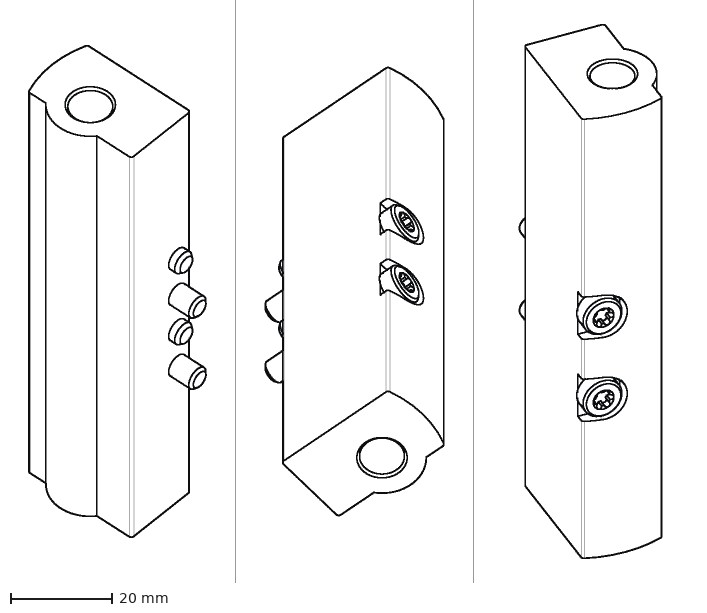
import cadquery as cq
import math

block_height = 107.0
block_width = 29.0
block_depth = 17.4
side_bulge = 1.6
corner_radius = 0.6

bore_diameter = 8.9
bore_mouth_diameter = 10.0
bore_x = 13.1
boss_radius = 8.8
boss_projection = 3.2
bore_y = boss_radius - boss_projection

fastener_diameter = 5.0
fastener_from_back = 4.0
fastener_y = block_depth - fastener_from_back
fastener_pitch = 20.0
screw_tip_chamfer = 0.6
pin_tip_length = 0.9
pin_tip_width = 0.6

screw_low_z = 38.5
screw_projection = 6.0
head_diameter = 8.5
head_chamfer_length = 0.5
head_chamfer_width = 0.48
seat_diameter = 10.3
seat_x = 3.5

socket_diameter = 4.5
socket_root_diameter = 3.3
socket_lobe_diameter = 1.2
socket_lobes = 6
socket_mouth_depth = 0.3
socket_depth = 1.7
socket_tip_depth = 1.0

pin_low_z = screw_low_z + fastener_pitch / 2
pin_projection = 2.5
pin_embedded = 10.0

screw_heights = [screw_low_z, screw_low_z + fastener_pitch]
pin_heights = [pin_low_z, pin_low_z + fastener_pitch]


def rod_x(diameter, start_x, end_x, z):
    """Cylinder along X on the fastener line at height z."""
    return (
        cq.Workplane("YZ", origin=(start_x, fastener_y, z))
        .circle(diameter / 2)
        .extrude(end_x - start_x)
    )


def revolve_on_x(profile, z):
    """Solid turned about the fastener line at height z, from (x, radius) points."""
    return (
        cq.Workplane("XY")
        .polyline(profile)
        .close()
        .revolve(360, (0, 0, 0), (1, 0, 0))
        .translate((0, fastener_y, z))
    )


def make_block_body():
    body = (
        cq.Workplane("XY")
        .moveTo(side_bulge, 0)
        .lineTo(block_width, 0)
        .lineTo(block_width, block_depth)
        .lineTo(side_bulge, block_depth)
        .threePointArc((0, block_depth / 2), (side_bulge, 0))
        .close()
        .extrude(block_height)
        .edges("|Z")
        .fillet(corner_radius)
    )
    boss = cq.Workplane("XY").center(bore_x, bore_y).circle(boss_radius).extrude(block_height)
    front_room = cq.Workplane("XY").box(
        2 * boss_radius, boss_radius, block_height, centered=(True, True, False)
    ).translate((bore_x, bore_y - boss_radius / 2, 0))
    return body.union(boss.intersect(front_room))


def make_bore():
    bore_radius = bore_diameter / 2
    mouth_radius = bore_mouth_diameter / 2
    chamfer = mouth_radius - bore_radius
    return (
        cq.Workplane("XZ")
        .polyline([
            (0, 0),
            (mouth_radius, 0),
            (bore_radius, chamfer),
            (bore_radius, block_height - chamfer),
            (mouth_radius, block_height),
            (0, block_height),
        ])
        .close()
        .revolve(360, (0, 0, 0), (0, 1, 0))
        .translate((bore_x, bore_y, 0))
    )


def make_head_seat(z):
    """U-shaped recess for a screw head, open at the left and the back."""
    round_end = rod_x(seat_diameter, 0, seat_x, z)
    back_opening = cq.Workplane("XY").box(
        seat_x, seat_diameter, seat_diameter, centered=(False, False, True)
    ).translate((0, fastener_y, z))
    return round_end.union(back_opening)


def make_housing():
    housing = make_block_body().cut(make_bore())
    for z in screw_heights:
        housing = housing.cut(make_head_seat(z))
        housing = housing.cut(rod_x(fastener_diameter, 0, block_width, z))
    for z in pin_heights:
        housing = housing.cut(rod_x(fastener_diameter, block_width - pin_embedded, block_width, z))
    return housing


def make_socket(z):
    """Six-lobe socket with a conical mouth and bottom, cut in from the head face at X = 0."""
    full_depth = socket_depth + socket_tip_depth
    tip_radius = socket_diameter / 2
    root_radius = socket_root_diameter / 2
    star = rod_x(socket_root_diameter, 0, full_depth, z)
    lobe_circle_radius = tip_radius - socket_lobe_diameter / 2
    for i in range(socket_lobes):
        angle = 2 * math.pi * i / socket_lobes
        lobe = rod_x(socket_lobe_diameter, 0, full_depth, z).translate(
            (0, lobe_circle_radius * math.cos(angle), lobe_circle_radius * math.sin(angle))
        )
        star = star.union(lobe)
    drilled = revolve_on_x(
        [(0, 0), (0, tip_radius), (socket_depth, tip_radius), (full_depth, 0)], z
    )
    mouth = revolve_on_x(
        [(0, 0), (0, tip_radius), (socket_mouth_depth, root_radius), (socket_mouth_depth, 0)], z
    )
    return star.intersect(drilled).union(mouth)


def make_screw(z):
    head_radius = head_diameter / 2
    shank_radius = fastener_diameter / 2
    tip_x = block_width + screw_projection
    screw = revolve_on_x([
        (0, 0),
        (0, head_radius - head_chamfer_width),
        (head_chamfer_length, head_radius),
        (seat_x, head_radius),
        (seat_x, shank_radius),
        (tip_x - screw_tip_chamfer, shank_radius),
        (tip_x, shank_radius - screw_tip_chamfer),
        (tip_x, 0),
    ], z)
    return screw.cut(make_socket(z))


def make_pin(z):
    pin = rod_x(fastener_diameter, block_width - pin_embedded, block_width + pin_projection, z)
    return pin.faces(">X").chamfer(pin_tip_length, pin_tip_width)


housing = make_housing()
screws = [make_screw(z) for z in screw_heights]
pins = [make_pin(z) for z in pin_heights]

result = cq.Compound.makeCompound(
    [housing.val()] + [screw.val() for screw in screws] + [pin.val() for pin in pins]
)